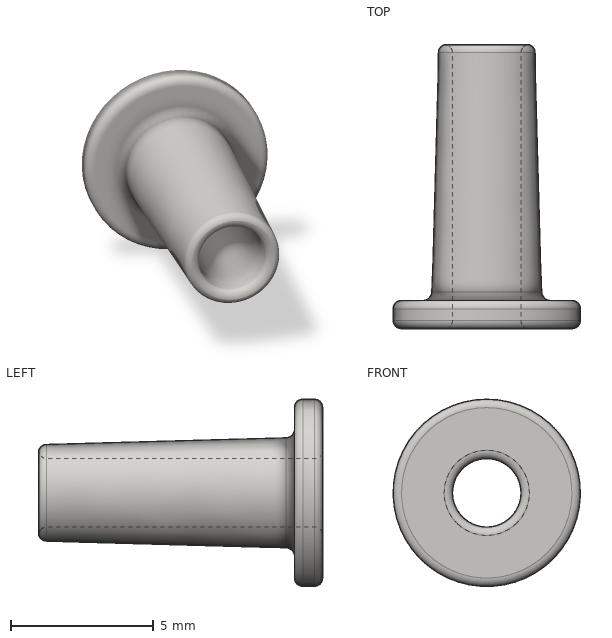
import math

import cadquery as cq

total_length = 10.0
flange_diameter = 6.6
flange_thickness = 1.0
bore_diameter = 2.4
root_diameter = 3.9
tip_diameter = 3.4
edge_radius = 0.3

flange_radius = flange_diameter / 2
bore_radius = bore_diameter / 2
root_radius = root_diameter / 2
tip_radius = tip_diameter / 2
mouth_radius = bore_radius + edge_radius
taper_angle = math.atan2(root_radius - tip_radius, total_length - flange_thickness)


def root_fillet_ends():
    """Ends of the root fillet, on the flange back and on the cone, as (Y, radius)."""
    corner_angle = math.pi / 2 + taper_angle
    setback = edge_radius / math.tan(corner_angle / 2)
    on_flange = (flange_thickness, root_radius + setback)
    on_cone = (
        flange_thickness + setback * math.cos(taper_angle),
        root_radius - setback * math.sin(taper_angle),
    )
    return on_flange, on_cone


def tip_rounding_start():
    """Point (Y, radius) on the cone where the outer rounding of the tip begins.

    The rounding is tangent to the cone and meets the bore mouth in a sharp crest
    at the free end, because the wall is thinner than two edge radii.
    """
    crest_depth = (tip_radius - mouth_radius) * math.cos(taper_angle)
    run = math.sqrt(edge_radius**2 - (edge_radius - crest_depth) ** 2)
    foot_y = total_length + crest_depth * math.sin(taper_angle)
    foot_radius = mouth_radius + crest_depth * math.cos(taper_angle)
    return (
        foot_y - run * math.cos(taper_angle),
        foot_radius + run * math.sin(taper_angle),
    )


def make_bushing():
    """Revolve the wall section, drawn as (Y, radius), about the Y axis."""
    root_on_flange, root_on_cone = root_fillet_ends()
    bore_tip_end = (total_length - edge_radius, bore_radius)
    crest = (total_length, mouth_radius)
    diagonal = edge_radius * math.sqrt(0.5)
    tip_mouth_middle = (bore_tip_end[0] + diagonal, mouth_radius - diagonal)

    section = (
        cq.Workplane("YZ")
        .moveTo(*bore_tip_end)
        .lineTo(edge_radius, bore_radius)
        .tangentArcPoint((0, mouth_radius), relative=False)
        .lineTo(0, flange_radius - edge_radius)
        .tangentArcPoint((edge_radius, flange_radius), relative=False)
        .lineTo(flange_thickness - edge_radius, flange_radius)
        .tangentArcPoint((flange_thickness, flange_radius - edge_radius), relative=False)
        .lineTo(*root_on_flange)
        .tangentArcPoint(root_on_cone, relative=False)
        .lineTo(*tip_rounding_start())
        .tangentArcPoint(crest, relative=False)
        .threePointArc(tip_mouth_middle, bore_tip_end)
        .close()
    )
    return section.revolve(360, (0, 0, 0), (1, 0, 0))


result = make_bushing()